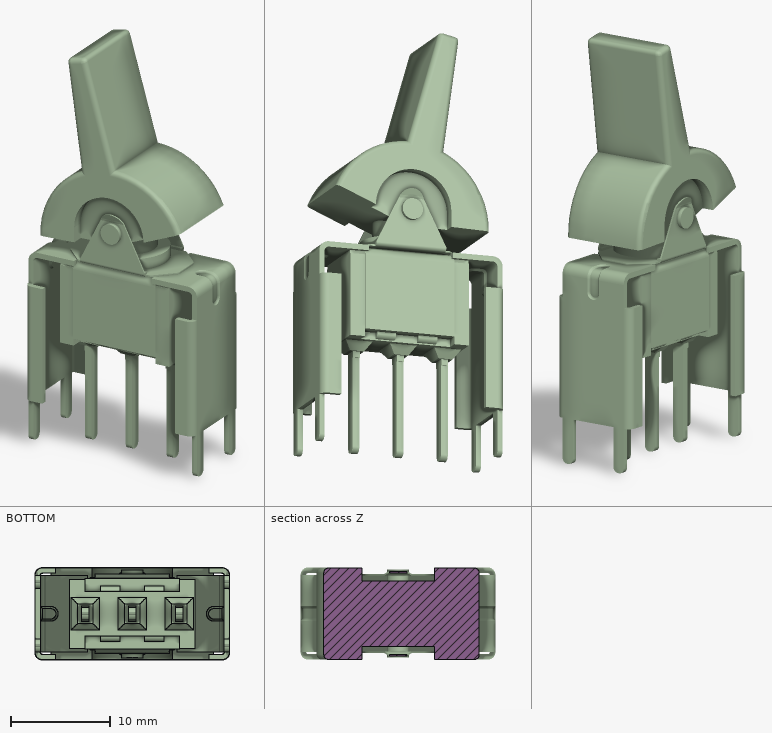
import cadquery as cq
import math


bracket_half_width = 9.8
bracket_half_depth = 3.85
bracket_top = 20.73
sheet = 0.55
bend_radius = 1.05
leg_shoulder = 4.8
leg_tip = 0.15
leg_pin_width = 1.3

flange_half_depth = 4.65
flange_half_inside = 7.7
flange_top = 17.25
flange_bend = flange_half_depth - bracket_half_depth

gusset_width = 1.45
gusset_depth = 0.2
gusset_wall_angle = 45.0
gusset_end_x = 7.45
gusset_end_z = 17.55

case_half_width = 6.3
case_half_depth = 3.45
case_bottom = 11.35
case_lip_height = 0.35
case_lip_step = 0.1
cover_half_width = 4.75
cover_half_depth = 3.55
cover_gap_half_width = 4.5
cover_bottom = 12.1
notch_half_depth = 2.25
tab_offset = 2.2
tab_width = 2.0
tab_bottom = 11.45
tab_length = 0.5
tab_radius = 0.48

terminal_pitch = 4.7
terminal_thickness = 0.75
terminal_width = 1.25
terminal_collar = 0.15
terminal_collar_bottom = 9.8
bead_bottom = 10.43
bead_top_size = 2.85
bead_bottom_size = 1.5
bead_extra_depth = 0.45
tip_radius = 0.55

plate_sheet = 0.17
plate_corner = 2.1
plate_corner_round = 0.45
plate_top = bracket_top + plate_sheet
ear_half_depth = 4.0
ear_bend_top = 21.15
ear_bend = 0.35
ear_half_base = 3.7
ear_half_top = 1.35
ear_top = 25.9
ear_tip_height = 0.95
ear_tip_lean = 0.45
ear_tip_bend_height = 0.25
ear_tip_bend_lean = 0.1

bushing_diameter = 5.2
bushing_top = 24.65
collar_diameter = 7.8
collar_flats = 6.5
collar_top = 22.1

pivot_height = 24.75
pivot_diameter = 2.15
pivot_half_length = 4.4
tilt = 12.0
rocker_half_depth = flange_half_depth
sector_radius = 8.5
sector_drop = 1.5
underside_angle = 10.4
lever_height = 18.8
lever_half_root = 1.95
lever_half_tip = 1.1
rocker_edge = 0.5
lever_edge = 0.45
hub_radius = 4.02
hub_floor = 3.35


def box(x0, x1, y0, y1, z0, z1):
    """Box between opposite corners."""
    return cq.Workplane("XY").box(x1 - x0, y1 - y0, z1 - z0, centered=False).translate((x0, y0, z0))


def mirrored(body, plane):
    """Body together with its mirror image through the origin."""
    return body.union(body.mirror(plane))


def pointed_blade(length_x, width_y, z0, z1):
    """Upright flat blade with a rounded lower tip."""
    blade = cq.Workplane("XY").box(length_x, width_y, z1 - z0, centered=(True, True, False))
    return blade.edges("<Z and |X").fillet(tip_radius).translate((0, 0, z0))


def bent_channel(half_span, half_length, plane, bottom, top, thickness, radius):
    """Inverted U of sheet with its profile in the given plane, XZ or YZ."""
    height = top - bottom

    def block(half, z_size, corner):
        solid = cq.Workplane(plane).rect(2 * half, 2 * z_size).extrude(half_length, both=True)
        along = "|Y" if plane == "XZ" else "|X"
        return solid.edges(along).edges(">Z").fillet(corner).translate((0, 0, bottom))

    outer = block(half_span, height, radius)
    inner = block(half_span - thickness, height - thickness, radius - thickness)
    keep = 4 * bracket_half_width
    above = cq.Workplane("XY").box(keep, keep, height, centered=(True, True, False))
    return outer.cut(inner).intersect(above.translate((0, 0, bottom)))


def make_flange():
    """Front flange of the right leg: a quarter bend followed by a flat lip."""
    wide_x = bracket_half_width
    inner_bend = flange_bend - sheet
    diag = math.sqrt(0.5)
    centre_x = wide_x - flange_bend
    centre_y = -bracket_half_depth
    outline = (
        cq.Workplane("XY")
        .moveTo(wide_x, centre_y)
        .threePointArc((centre_x + flange_bend * diag, centre_y - flange_bend * diag),
                       (centre_x, -flange_half_depth))
        .lineTo(flange_half_inside, -flange_half_depth)
        .lineTo(flange_half_inside, -flange_half_depth + sheet)
        .lineTo(centre_x, -flange_half_depth + sheet)
        .threePointArc((centre_x + inner_bend * diag, centre_y - inner_bend * diag),
                       (wide_x - sheet, centre_y))
        .close()
    )
    return outline.extrude(flange_top - leg_shoulder).translate((0, 0, leg_shoulder))


def make_gusset(inset, radius):
    """Tapered rib running round the right bracket corner, let into the surface set in by the inset."""
    surface_x = bracket_half_width - inset
    surface_z = bracket_top - inset
    half = gusset_width / 2
    start_x = gusset_end_x + half
    stop_z = gusset_end_z + half
    diag = radius * math.sqrt(0.5)
    path = (
        cq.Workplane("XZ").moveTo(start_x, surface_z).lineTo(surface_x - radius, surface_z)
        .threePointArc((surface_x - radius + diag, surface_z - radius + diag),
                       (surface_x, surface_z - radius))
        .lineTo(surface_x, stop_z)
    )
    floor_half = half - gusset_depth
    section = cq.Workplane("YZ", origin=(start_x, 0, surface_z)).polyline(
        [(-half, 0), (half, 0), (floor_half, -gusset_depth), (-floor_half, -gusset_depth)]).close()
    top_end = cq.Workplane("XY", origin=(start_x, 0, surface_z)).circle(half)
    low_end = cq.Workplane("YZ", origin=(surface_x, 0, stop_z)).circle(half)
    rib = section.sweep(path)
    rib = rib.union(top_end.extrude(-gusset_depth, taper=gusset_wall_angle))
    return rib.union(low_end.extrude(-gusset_depth, taper=gusset_wall_angle))


def make_bracket():
    """Folded sheet frame with pin-ended legs, side flanges, pressed gussets and the cover."""
    frame = bent_channel(bracket_half_width, bracket_half_depth, "XZ",
                         leg_shoulder, bracket_top, sheet, bend_radius)
    blade = pointed_blade(sheet, leg_pin_width, leg_tip, leg_shoulder)
    blade = blade.translate((bracket_half_width - sheet / 2, bracket_half_depth - leg_pin_width / 2, 0))
    side = mirrored(blade, "XZ").union(mirrored(make_flange(), "XZ"))
    frame = frame.union(mirrored(side, "YZ"))
    bump = make_gusset(sheet, bend_radius - sheet)
    groove = make_gusset(0, bend_radius)
    frame = frame.union(mirrored(bump, "YZ")).cut(mirrored(groove, "YZ"))
    cover_gap = box(-cover_gap_half_width, cover_gap_half_width, -flange_half_depth, flange_half_depth,
                    cover_bottom, bracket_top)
    return frame.cut(cover_gap).union(make_cover())


def make_cover():
    """Middle of the bracket top with its front and rear edges folded down."""
    return bent_channel(cover_half_depth, cover_half_width, "YZ",
                        cover_bottom, bracket_top, sheet, bend_radius)


def make_case():
    """Block with a stepped lip, notched below the cover and carrying two rounded tabs in each notch."""
    lip_z = bracket_top - sheet - case_lip_height
    case = box(-case_half_width, case_half_width, -case_half_depth, case_half_depth, case_bottom, lip_z)
    lip_depth = case_half_depth - case_lip_step
    case = case.union(box(-case_half_width, case_half_width, -lip_depth, lip_depth,
                          lip_z, bracket_top - sheet))
    notch = box(-cover_half_width, cover_half_width, -case_half_depth, -notch_half_depth,
                case_bottom, cover_bottom)
    case = case.cut(mirrored(notch, "XZ"))
    for x in (-tab_offset, tab_offset):
        tab = box(x - tab_width / 2, x + tab_width / 2, -notch_half_depth - tab_length, -notch_half_depth,
                  tab_bottom, cover_bottom)
        tab = tab.edges("|X and <Y and <Z").fillet(tab_radius)
        case = case.union(mirrored(tab, "XZ"))
    return case


def make_terminal():
    """Central terminal blade with its shoulder and the tapered sealing bead around it."""
    blade = pointed_blade(terminal_thickness, terminal_width, 0, case_bottom)
    collar_width = terminal_width + 2 * terminal_collar
    collar = box(-terminal_thickness / 2, terminal_thickness / 2, -collar_width / 2, collar_width / 2,
                 terminal_collar_bottom, case_bottom)
    bead = (
        cq.Workplane("XY").workplane(offset=bead_bottom)
        .rect(bead_bottom_size, bead_bottom_size + bead_extra_depth)
        .workplane(offset=case_bottom - bead_bottom)
        .rect(bead_top_size, bead_top_size + bead_extra_depth)
        .loft()
    )
    return blade.union(collar).union(bead)


def make_ear():
    """Front ear: a tapering upright sheet with its rounded tip leaning outwards."""
    back = -ear_half_depth + plate_sheet
    upright = (
        cq.Workplane("XZ", origin=(0, back, 0))
        .polyline([(-ear_half_base, ear_bend_top), (ear_half_base, ear_bend_top),
                   (ear_half_top, ear_top), (-ear_half_top, ear_top)])
        .close().extrude(plate_sheet)
    )
    foot = box(-ear_half_base, ear_half_base, -ear_half_depth, back + ear_bend,
               bracket_top, ear_bend_top)
    foot = foot.edges("|X and <Y and <Z").fillet(ear_bend)
    lean = (
        cq.Workplane("YZ")
        .polyline([(back, ear_top),
                   (back - ear_tip_bend_lean, ear_top + ear_tip_bend_height),
                   (back - ear_tip_lean, ear_top + ear_tip_height),
                   (back - ear_tip_lean - plate_sheet, ear_top + ear_tip_height),
                   (back - ear_tip_bend_lean - plate_sheet, ear_top + ear_tip_bend_height),
                   (back - plate_sheet, ear_top)])
        .close().extrude(ear_half_top, both=True)
    )
    dome = (
        cq.Workplane("XZ").moveTo(-ear_half_top, ear_top)
        .threePointArc((0, ear_top + ear_tip_height), (ear_half_top, ear_top)).close()
        .extrude(2 * ear_half_depth)
    )
    return upright.union(foot).union(lean.intersect(dome))


def make_plate():
    """Sheet with cut corners lying on the bracket, with an ear at the front and the rear."""
    half_depth = ear_half_depth - ear_bend
    plate = box(-case_half_width, case_half_width, -half_depth, half_depth, bracket_top, plate_top)
    plate = plate.edges("|Z").chamfer(plate_corner)
    plate = plate.edges("|Z").edges("<X or >X").fillet(plate_corner_round)
    return plate.union(mirrored(make_ear(), "XZ"))


def make_bushing():
    """Round bushing with a wider collar that has two flats."""
    base = cq.Workplane("XY").workplane(offset=bracket_top)
    collar = base.circle(collar_diameter / 2).extrude(collar_top - bracket_top)
    half_flat = collar_flats / 2
    collar = collar.intersect(box(-collar_diameter, collar_diameter, -half_flat, half_flat, 0, collar_top))
    return collar.union(base.circle(bushing_diameter / 2).extrude(bushing_top - bracket_top))


def make_rocker():
    """Rocker drawn upright with its pivot at the origin, then tilted into place."""
    rim_angle = math.radians(underside_angle)
    rim_x = sector_radius * math.cos(rim_angle)
    rim_z = sector_radius * math.sin(rim_angle) - sector_drop
    root_x = lever_half_root
    root_z = math.sqrt(sector_radius ** 2 - root_x ** 2) - sector_drop
    mid_angle = (rim_angle + math.acos(root_x / sector_radius)) / 2
    mid_x = sector_radius * math.cos(mid_angle)
    mid_z = sector_radius * math.sin(mid_angle) - sector_drop
    outline = (
        cq.Workplane("XZ").moveTo(0, -sector_drop).lineTo(rim_x, rim_z)
        .threePointArc((mid_x, mid_z), (root_x, root_z))
        .lineTo(lever_half_tip, lever_height)
        .lineTo(-lever_half_tip, lever_height)
        .lineTo(-root_x, root_z)
        .threePointArc((-mid_x, mid_z), (-rim_x, rim_z)).close()
    )
    rocker = outline.extrude(rocker_half_depth, both=True)
    rocker = rocker.edges("|Y and >Z").fillet(lever_edge)
    rim = cq.selectors.BoxSelector((-sector_radius, -sector_radius, rim_z),
                                   (sector_radius, sector_radius, lever_height))
    rocker = rocker.faces("<Y or >Y").edges(rim).fillet(rocker_edge)
    return rocker.rotate((0, 0, 0), (0, 1, 0), -tilt).translate((0, 0, pivot_height))


def make_hub_recess():
    """Front recess around the pivot: a half round continued straight down."""
    recess = (
        cq.Workplane("XZ", origin=(0, -hub_floor, pivot_height))
        .moveTo(-hub_radius, 0).threePointArc((0, hub_radius), (hub_radius, 0))
        .lineTo(hub_radius, -hub_radius).lineTo(-hub_radius, -hub_radius).close()
    )
    return recess.extrude(rocker_half_depth)


def make_pivot():
    """Pivot pin through the rocker and both ears."""
    axis = cq.Workplane("XZ", origin=(0, 0, pivot_height)).circle(pivot_diameter / 2)
    return axis.extrude(pivot_half_length, both=True)


rocker = make_rocker().cut(mirrored(make_hub_recess(), "XZ"))
result = make_bracket().union(make_case()).union(make_plate()).union(make_bushing())
for position in (-terminal_pitch, 0, terminal_pitch):
    result = result.union(make_terminal().translate((position, 0, 0)))
result = result.union(rocker).union(make_pivot())